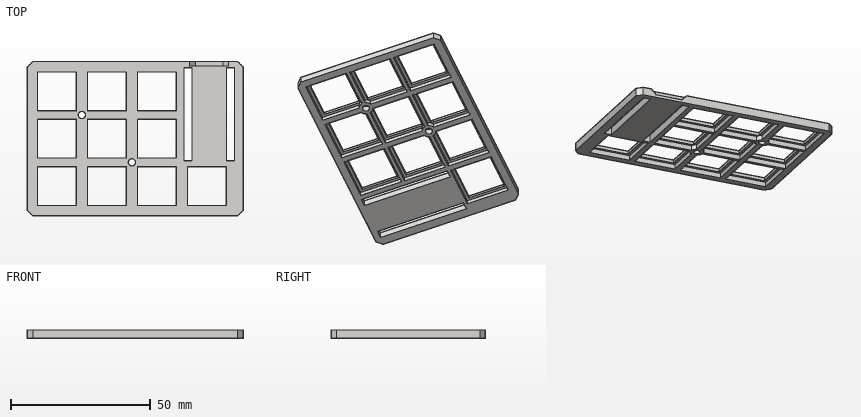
import cadquery as cq

LENGTH = 77.51
WIDTH = 55.4
THICKNESS = 3.0
CORNER_CHAMFER = 2.0

KEY_SIZE = 13.84
KEY_PITCH_X = 17.95
KEY_PITCH_Y = 17.0
FIRST_KEY_X = -28.12
BOTTOM_ROW_Y = -KEY_PITCH_Y
FULL_COLUMNS = 3
ROWS = 3
LIP_THICKNESS = 1.2
RELIEF_SIZE = 15.8

SCREW_DIAMETER = 2.5
BOSS_DIAMETER = 5.0

CONTROLLER_X = 26.55
SLOT_SPACING = 15.24
SLOT_WIDTH = 2.8
SLOT_LENGTH = 33.3
SLOT_TOP_Y = 25.4

NOTCH_TOP_WIDTH = 14.0
NOTCH_DEPTH = 2.0
NOTCH_FLOOR_WIDTH = NOTCH_TOP_WIDTH - 2 * NOTCH_DEPTH
NOTCH_REACH = 1.6


def key_center(column, row):
    return (FIRST_KEY_X + column * KEY_PITCH_X, BOTTOM_ROW_Y + row * KEY_PITCH_Y)


def crossing(column, row):
    """Centre of the web crossing at the upper right of a key."""
    x, y = key_center(column, row)
    return (x + KEY_PITCH_X / 2, y + KEY_PITCH_Y / 2)


KEYS = [key_center(column, row) for column in range(FULL_COLUMNS) for row in range(ROWS)]
KEYS.append(key_center(FULL_COLUMNS, 0))
SCREWS = [crossing(0, 1), crossing(1, 0)]


def plate():
    blank = cq.Workplane("XY").box(LENGTH, WIDTH, THICKNESS, centered=(True, True, False))
    return blank.edges("|Z").chamfer(CORNER_CHAMFER)


def key_openings():
    return cq.Workplane("XY").pushPoints(KEYS).rect(KEY_SIZE, KEY_SIZE).extrude(THICKNESS)


def key_reliefs():
    """Wider pockets under the lips, with the screw bosses left standing."""
    relief_depth = THICKNESS - LIP_THICKNESS
    pockets = cq.Workplane("XY").pushPoints(KEYS).rect(RELIEF_SIZE, RELIEF_SIZE).extrude(relief_depth)
    bosses = cq.Workplane("XY").pushPoints(SCREWS).circle(BOSS_DIAMETER / 2).extrude(relief_depth)
    return pockets.cut(bosses)


def screw_holes():
    return cq.Workplane("XY").pushPoints(SCREWS).circle(SCREW_DIAMETER / 2).extrude(THICKNESS)


def pin_slots():
    slot_y = SLOT_TOP_Y - SLOT_LENGTH / 2
    centers = [(CONTROLLER_X + side * SLOT_SPACING / 2, slot_y) for side in (-1, 1)]
    return cq.Workplane("XY").pushPoints(centers).rect(SLOT_WIDTH, SLOT_LENGTH).extrude(THICKNESS)


def connector_notch():
    floor_z = THICKNESS - NOTCH_DEPTH
    profile = [
        (CONTROLLER_X - NOTCH_TOP_WIDTH / 2, THICKNESS),
        (CONTROLLER_X - NOTCH_FLOOR_WIDTH / 2, floor_z),
        (CONTROLLER_X + NOTCH_FLOOR_WIDTH / 2, floor_z),
        (CONTROLLER_X + NOTCH_TOP_WIDTH / 2, THICKNESS),
    ]
    edge = cq.Workplane("XZ", origin=(0, WIDTH / 2, 0))
    return edge.polyline(profile).close().extrude(NOTCH_REACH)


result = (
    plate()
    .cut(key_reliefs())
    .cut(key_openings())
    .cut(screw_holes())
    .cut(pin_slots())
    .cut(connector_notch())
)